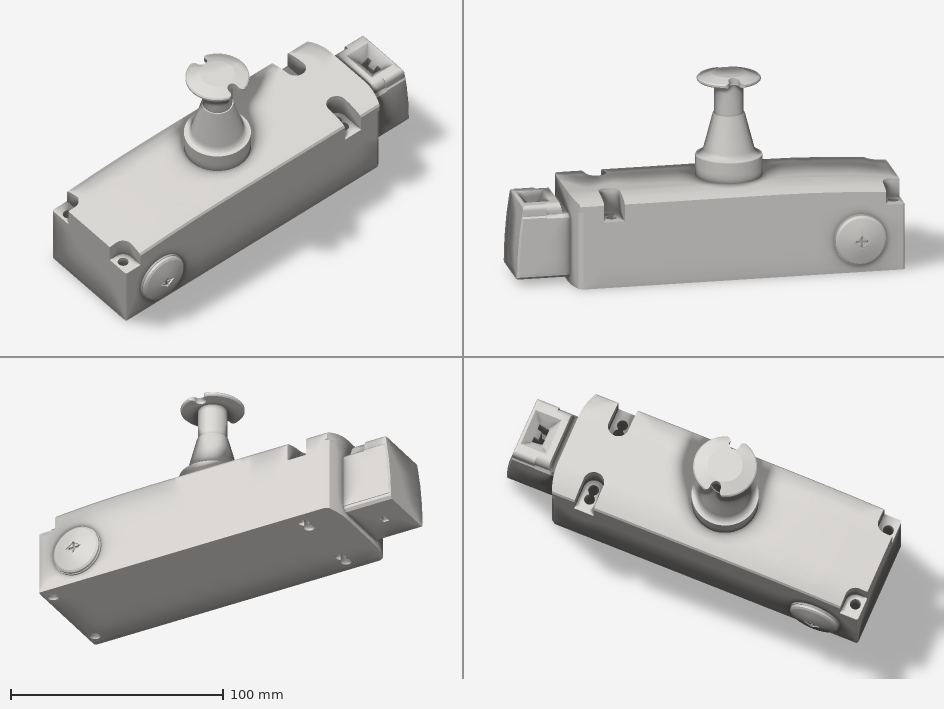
import cadquery as cq
import math

margin = 1.8
pick_margin = 0.02

housing_width = 54.0
half_width = housing_width / 2
roof_z = 44.0
flat_half = 12.5
roof_drop = 2.2
bevel_width = 0.7
bevel_height = 1.1
back_y = 159.0
back_drop = 3.0
nose_start_y = 61.1
roof_nose_drop = 2.8
parting_z = 38.0
parting_nose_drop = 4.8
front_corner_radius = 1.1
rear_corner_chamfer = 1.5

pocket_floor_z = 32.4
pocket_radius = 5.0
hole_radius = 2.5
hole_x = 20.0
front_hole_y = 4.0
rear_hole_y = 139.7
rear_inner_hole_x = 15.1
hole_neck_half = 1.3

knob_y = 79.0
knob_seat_depth = 1.0
knob_base_radius = 15.8
knob_base_top_z = 54.0
knob_flare_top_z = 56.7
flare_top_radius = 12.2
cone_top_radius = 7.5
cone_top_z = 74.4
stem_radius = 7.0
disc_bottom_z = 90.4
disc_rim_z = 91.9
disc_radius = 15.1
disc_rim_bevel = 0.5
disc_top_radius = 8.3
top_z = 94.0
notch_half = 2.5
notch_inner_x = 8.8
notch_mouth_radius = 2.0

plug_y = 21.5
plug_z = 16.2
plug_flange_radius = 12.5
plug_flange_height = 1.0
plug_rim_radius = 12.2
plug_rim_height = 2.2
plug_dome_radius = 11.2
plug_dome_start = 3.0
plug_height = 5.2
drive_half_y = 4.0
drive_half_z = 2.8
drive_arm_half = 3.0
drive_arm_width = 1.3
drive_diamond_depth = 1.0
drive_cross_depth = 1.8

head_half = 16.0
head_back_y = 184.1
head_front_y = back_y - back_drop
head_bottom_z = 3.0
head_body_z = 5.7
head_top_z = 39.0
head_deck_z = 34.0
head_shoulder_z = 33.1
head_back_radius = 211.7
head_edge = 1.0
neck_chamfer = 1.5
foot_inset = 0.4
foot_half = head_half - foot_inset
foot_chamfer = 1.3
neck_end_y = 170.0
crown_front_y = 162.2
crown_front_lean = 1.0
crown_foot_radius = 1.1
crown_back_radius = 1.3
neck_crown_half = 14.5
neck_crown_radius = 3.3
rear_crown_half = 15.3
rear_crown_radius = 2.2

funnel_half = 9.2
funnel_wall_angle = 45.0
funnel_front_y = 166.2
funnel_back_y = 179.5
key_slot_half = 2.0
key_slot_front_y = 170.3
key_slot_back_y = 173.5
key_pocket_back_y = 175.6
key_pocket_front_x = 4.0
key_pocket_back_x = 4.8
key_pocket_floor_z = 24.0


def block(x0, x1, y0, y1, z0, z1):
    """Box between two opposite corners; x0 and x1 may come in either order."""
    box = cq.Workplane("XY").box(abs(x1 - x0), y1 - y0, z1 - z0, centered=False)
    return box.translate((min(x0, x1), y0, z0))


def cylinder(radius, x, y, z0, z1):
    return cq.Workplane("XY").circle(radius).extrude(z1 - z0).translate((x, y, z0))


def bow(run, drop, x):
    """Fall at distance x of an arc that starts level and falls by drop over run."""
    radius = (run ** 2 + drop ** 2) / (2 * drop)
    return radius - math.sqrt(radius ** 2 - x ** 2)


def plan():
    """Outline seen from above: straight sides and a bowed back wall."""
    run = half_width - flat_half
    side_y = back_y - back_drop
    mid_x = flat_half + run / 2
    mid_y = back_y - bow(run, back_drop, run / 2)
    return (
        cq.Workplane("XY")
        .moveTo(-half_width, 0)
        .lineTo(half_width, 0)
        .lineTo(half_width, side_y)
        .threePointArc((mid_x, mid_y), (flat_half, back_y))
        .lineTo(-flat_half, back_y)
        .threePointArc((-mid_x, mid_y), (-half_width, side_y))
        .close()
    )


def below_parting():
    """Everything under the curved parting face between housing and cover."""
    mid_y = nose_start_y / 2
    mid_z = parting_z - bow(nose_start_y, parting_nose_drop, nose_start_y - mid_y)
    return (
        cq.Workplane("YZ")
        .moveTo(0, 0)
        .lineTo(0, parting_z - parting_nose_drop)
        .threePointArc((mid_y, mid_z), (nose_start_y, parting_z))
        .lineTo(back_y, parting_z)
        .lineTo(back_y, 0)
        .close()
        .extrude(half_width, both=True)
    )


def below_roof():
    """Arched roof section carried along the straight and nose-down roof line."""
    arch_end = half_width - bevel_width
    run = arch_end - flat_half
    edge_z = roof_z - roof_drop
    side_z = edge_z - bevel_height
    low_z = pocket_floor_z - parting_nose_drop
    mid_x = flat_half + run / 2
    mid_z = roof_z - bow(run, roof_drop, run / 2)
    overrun = nose_start_y + margin
    end_z = roof_z - bow(nose_start_y, roof_nose_drop, overrun)
    half_z = roof_z - bow(nose_start_y, roof_nose_drop, overrun / 2)
    roof_line = (
        cq.Workplane("YZ")
        .moveTo(back_y, roof_z)
        .lineTo(nose_start_y, roof_z)
        .threePointArc((nose_start_y - overrun / 2, half_z), (nose_start_y - overrun, end_z))
    )
    return (
        cq.Workplane("XZ", origin=(0, back_y, 0))
        .moveTo(-half_width, low_z)
        .lineTo(half_width, low_z)
        .lineTo(half_width, side_z)
        .lineTo(arch_end, edge_z)
        .threePointArc((mid_x, mid_z), (flat_half, roof_z))
        .lineTo(-flat_half, roof_z)
        .threePointArc((-mid_x, mid_z), (-arch_end, edge_z))
        .lineTo(-half_width, side_z)
        .close()
        .sweep(roof_line)
    )


def mounting_cuts():
    """Screw pockets open to the sides, with the screw holes through their floors."""
    cuts = cq.Workplane("XY")
    z0 = pocket_floor_z
    z1 = roof_z + margin
    for side in (-1, 1):
        outer_x = side * (half_width + margin)
        front_x = side * hole_x
        rear_x = side * rear_inner_hole_x
        corner_x = front_x - side * pocket_radius
        back = front_hole_y + pocket_radius
        cuts = cuts.union(cylinder(pocket_radius, front_x, front_hole_y, z0, z1))
        cuts = cuts.union(block(front_x, outer_x, -margin, back, z0, z1))
        cuts = cuts.union(block(corner_x, outer_x, -margin, front_hole_y, z0, z1))
        cuts = cuts.union(cylinder(pocket_radius, rear_x, rear_hole_y, z0, z1))
        cuts = cuts.union(block(rear_x, outer_x,
                                rear_hole_y - pocket_radius, rear_hole_y + pocket_radius, z0, z1))
        for x, y in ((front_x, front_hole_y), (rear_x, rear_hole_y), (side * hole_x, rear_hole_y)):
            cuts = cuts.union(cylinder(hole_radius, x, y, -margin, z1))
        cuts = cuts.union(block(rear_x, front_x,
                                rear_hole_y - hole_neck_half, rear_hole_y + hole_neck_half, -margin, z1))
    return cuts


def make_housing():
    side_y = back_y - back_drop
    rear_corners = cq.selectors.BoxSelector(
        (-half_width - pick_margin, side_y - pick_margin, 0),
        (half_width + pick_margin, side_y + pick_margin, roof_z))
    body = plan().extrude(roof_z)
    body = body.edges("|Z").edges("<Y").fillet(front_corner_radius)
    body = body.edges("|Z").edges(rear_corners).chamfer(rear_corner_chamfer)
    return body.intersect(below_parting()).cut(mounting_cuts())


def make_cover():
    body = below_roof().intersect(plan().extrude(roof_z)).cut(below_parting())
    seat = cylinder(knob_base_radius, 0, knob_y, roof_z - knob_seat_depth, roof_z + margin)
    return body.cut(mounting_cuts()).cut(seat)


def notched_disc():
    """Blank with the plan of the knob disc: two opposite round-ended notches with rounded mouths."""
    disc = cylinder(disc_radius, 0, 0, disc_bottom_z, top_z)
    for side in (-1, 1):
        inner_x = side * (notch_inner_x + notch_half)
        outer_x = side * (disc_radius + margin)
        disc = disc.cut(cylinder(notch_half, inner_x, 0, disc_bottom_z, top_z))
        disc = disc.cut(block(inner_x, outer_x,
                              -notch_half, notch_half, disc_bottom_z, top_z))
    mouth_x = math.sqrt(disc_radius ** 2 - notch_half ** 2)
    mouth_edges = cq.selectors.BoxSelector(
        (mouth_x - pick_margin, -notch_half - pick_margin, 0),
        (mouth_x + pick_margin, notch_half + pick_margin, top_z))
    far_mouth_edges = cq.selectors.BoxSelector(
        (-mouth_x - pick_margin, -notch_half - pick_margin, 0),
        (-mouth_x + pick_margin, notch_half + pick_margin, top_z))
    return disc.edges(mouth_edges + far_mouth_edges).fillet(notch_mouth_radius)


def make_knob():
    flare_run = knob_base_radius - flare_top_radius
    flare_rise = knob_flare_top_z - knob_base_top_z
    flare_mid_radius = knob_base_radius - flare_run / 2
    flare_mid_z = knob_base_top_z + bow(flare_run, flare_rise, flare_run / 2)
    stem = (
        cq.Workplane("XZ")
        .moveTo(0, roof_z - knob_seat_depth)
        .lineTo(knob_base_radius, roof_z - knob_seat_depth)
        .lineTo(knob_base_radius, knob_base_top_z)
        .threePointArc((flare_mid_radius, flare_mid_z), (flare_top_radius, knob_flare_top_z))
        .lineTo(cone_top_radius, cone_top_z)
        .lineTo(stem_radius, cone_top_z)
        .lineTo(stem_radius, disc_bottom_z)
        .lineTo(0, disc_bottom_z)
        .close()
        .revolve(360, (0, 0, 0), (0, 1, 0))
    )
    dome = (
        cq.Workplane("XZ")
        .moveTo(0, disc_bottom_z)
        .lineTo(disc_radius - disc_rim_bevel, disc_bottom_z)
        .lineTo(disc_radius, disc_bottom_z + disc_rim_bevel)
        .lineTo(disc_radius, disc_rim_z)
        .lineTo(disc_radius - disc_rim_bevel, disc_rim_z + disc_rim_bevel)
        .lineTo(disc_top_radius, top_z)
        .lineTo(0, top_z)
        .close()
        .revolve(360, (0, 0, 0), (0, 1, 0))
    )
    return stem.union(dome.intersect(notched_disc())).translate((0, knob_y, 0))


def drive_diamond():
    """Diamond-shaped prism sunk from the crown of a plug."""
    corners = [(drive_half_z, 0), (0, drive_half_y), (-drive_half_z, 0), (0, -drive_half_y)]
    diamond = cq.Workplane("XY", origin=(0, 0, plug_height)).polyline(corners).close()
    return diamond.extrude(-drive_diamond_depth)


def make_plug(side):
    """Domed plug on a side face, with a cross-in-diamond screwdriver recess."""
    dome_rise = plug_height - plug_dome_start
    mid_height = plug_height - bow(plug_dome_radius, dome_rise, plug_dome_radius / 2)
    plug = (
        cq.Workplane("XZ")
        .lineTo(plug_flange_radius, 0)
        .lineTo(plug_flange_radius, plug_flange_height)
        .lineTo(plug_rim_radius, plug_flange_height)
        .lineTo(plug_rim_radius, plug_rim_height)
        .lineTo(plug_dome_radius, plug_dome_start)
        .threePointArc((plug_dome_radius / 2, mid_height), (0, plug_height))
        .close()
        .revolve(360, (0, 0, 0), (0, 1, 0))
    )
    top = cq.Workplane("XY").workplane(offset=plug_height)
    arms = (
        top.rect(drive_arm_width, 2 * drive_arm_half).extrude(-drive_cross_depth)
        .union(top.rect(2 * drive_arm_half, drive_arm_width).extrude(-drive_cross_depth))
    )
    plug = plug.cut(drive_diamond()).cut(arms)
    plug = plug.rotate((0, 0, 0), (0, 1, 0), side * 90)
    return plug.translate((side * half_width, plug_y, plug_z))


def head_side():
    """Side profile of the head: bowed back, raised crown with a leaning front, lower deck."""
    rise = head_top_z - head_bottom_z
    top_y = head_back_y - bow(head_back_radius, head_back_radius, rise)
    mid_y = head_back_y - bow(head_back_radius, head_back_radius, rise / 2)
    return (
        cq.Workplane("YZ")
        .moveTo(head_front_y, head_bottom_z)
        .lineTo(head_back_y, head_bottom_z)
        .threePointArc((mid_y, head_bottom_z + rise / 2), (top_y, head_top_z))
        .lineTo(crown_front_y + crown_front_lean, head_top_z)
        .lineTo(crown_front_y, head_deck_z + crown_foot_radius)
        .tangentArcPoint((crown_front_y - crown_foot_radius, head_deck_z), relative=False)
        .lineTo(head_front_y, head_deck_z)
        .close()
        .extrude(head_half, both=True)
        .edges("|X").edges(">Z").edges(">Y").fillet(crown_back_radius)
        .faces(">Y").edges("not(|X)").chamfer(head_edge)
    )


def head_section(chamfer, crown_half, crown_radius, y0, y1):
    """Stretch of the head: chamfered body on a foot, with a narrower round-shouldered crown."""
    body = block(-head_half, head_half, y0, y1, head_body_z, head_deck_z)
    body = body.edges("|Y and >Z").chamfer(chamfer)
    crown = block(-crown_half, crown_half, y0, y1, head_shoulder_z, head_top_z)
    crown = crown.edges("|Y and >Z").fillet(crown_radius)
    foot = block(-foot_half, foot_half, y0, y1, head_bottom_z, head_body_z)
    foot = foot.edges("|Y and <Z").chamfer(foot_chamfer)
    return body.union(crown).union(foot)


def key_opening():
    """Funnel with sloping walls, a key slot through the head and a pocket on each side of it."""
    pocket_top_z = head_top_z - (funnel_back_y - key_pocket_back_y)
    length = funnel_back_y - funnel_front_y
    opening = (
        cq.Workplane("XY", origin=(0, funnel_front_y + length / 2, head_top_z))
        .rect(2 * funnel_half, length)
        .extrude(key_slot_back_y - funnel_back_y, taper=funnel_wall_angle)
    )
    slot = block(-key_slot_half, key_slot_half, key_slot_front_y, key_slot_back_y, 0, pocket_top_z)
    opening = opening.union(slot)
    for side in (-1, 1):
        pocket = cq.Workplane("XY", origin=(0, 0, key_pocket_floor_z)).polyline([
            (side * key_slot_half, key_slot_front_y),
            (side * key_pocket_front_x, key_slot_front_y),
            (side * key_pocket_back_x, key_pocket_back_y),
            (side * key_slot_half, key_pocket_back_y),
        ]).close().extrude(pocket_top_z - key_pocket_floor_z)
        opening = opening.union(pocket)
    return opening


def make_head():
    neck = head_section(neck_chamfer, neck_crown_half, neck_crown_radius,
                        head_front_y, neck_end_y)
    rear = head_section(head_edge, rear_crown_half, rear_crown_radius, neck_end_y, head_back_y)
    head = head_side().intersect(neck.union(rear)).cut(key_opening())
    return head.cut(plan().extrude(roof_z))


housing = make_housing()
cover = make_cover()
head = make_head()
knob = make_knob()
plugs = [make_plug(side) for side in (-1, 1)]

result = cq.Compound.makeCompound([
    housing.val(),
    cover.val(),
    head.val(),
    knob.val(),
    *[plug.val() for plug in plugs],
])